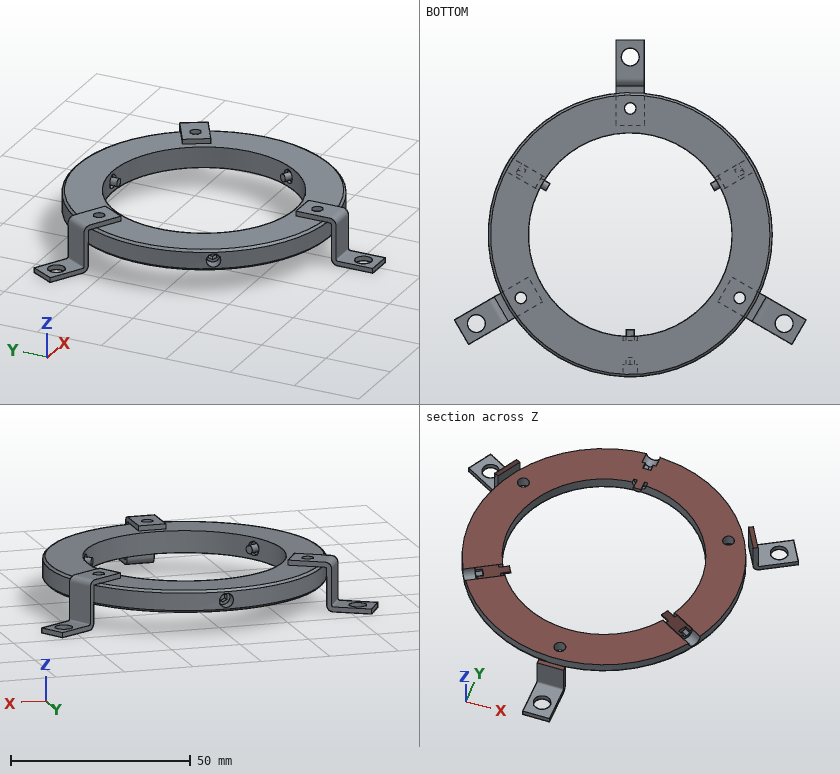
import cadquery as cq
import math

ring_outer_radius = 39.7
ring_inner_radius = 28.4
ring_height = 6.4
ring_chamfer = 0.7

overall_height = 14.2
sheet_thickness = 1.5
bracket_width = 8.0
bracket_inner_end = 30.5
bracket_outer_end = 54.4
wall_outer_face = 43.0
bend_inner_radius = 0.5
bend_outer_radius = bend_inner_radius + sheet_thickness
fixing_hole_radius_position = 35.3
fixing_hole_diameter = 3.1
foot_hole_radius_position = 49.6
foot_hole_diameter = 4.9
bracket_angles = (30, 150, 270)

screw_diameter = 4.0
screw_recess = 3.4
tip_diameter = 2.4
tip_end_radius = 26.5
tip_length = 2.9
socket_across_flats = 2.3
socket_depth = 2.0
fixed_screw_angle = 90
loose_screw_angles = (210, 330)

ring_top = overall_height - sheet_thickness
ring_bottom = ring_top - ring_height
ring_middle = ring_top - ring_height / 2


def turn(body, angle):
    """Turn a body about the ring axis."""
    return body.rotate((0, 0, 0), (0, 0, 1), angle)


def radial_plane(distance):
    """Plane facing outward along +X at mid-height of the ring."""
    return cq.Plane(origin=(distance, 0, ring_middle), xDir=(0, 0, 1), normal=(1, 0, 0))


def make_bracket():
    """Bracket pointing along +X, bent down outside the ring and out to a foot."""
    wall_inner_face = wall_outer_face - sheet_thickness
    bracket = (
        cq.Workplane("XZ")
        .moveTo(bracket_inner_end, overall_height)
        .lineTo(wall_outer_face, overall_height)
        .lineTo(wall_outer_face, sheet_thickness)
        .lineTo(bracket_outer_end, sheet_thickness)
        .lineTo(bracket_outer_end, 0)
        .lineTo(wall_inner_face, 0)
        .lineTo(wall_inner_face, ring_top)
        .lineTo(bracket_inner_end, ring_top)
        .close()
        .extrude(bracket_width / 2, both=True)
    )

    def bend_edge(x, z):
        return cq.selectors.NearestToPointSelector((x, 0, z))

    for x, z in ((wall_outer_face, overall_height), (wall_inner_face, 0)):
        bracket = bracket.edges(bend_edge(x, z)).fillet(bend_outer_radius)
    for x, z in ((wall_outer_face, sheet_thickness), (wall_inner_face, ring_top)):
        bracket = bracket.edges(bend_edge(x, z)).fillet(bend_inner_radius)

    foot_hole = (
        cq.Workplane("XY")
        .center(foot_hole_radius_position, 0)
        .circle(foot_hole_diameter / 2)
        .extrude(sheet_thickness)
    )
    return bracket.cut(foot_hole).cut(make_fixing_hole())


def make_fixing_hole():
    """Vertical hole through a bracket's top flange and the ring."""
    return (
        cq.Workplane("XY", origin=(fixing_hole_radius_position, 0, ring_bottom))
        .circle(fixing_hole_diameter / 2)
        .extrude(overall_height - ring_bottom)
    )


def make_set_screw():
    """Set screw along +X, its tip standing inward of the ring's bore."""
    head_radius = ring_outer_radius - screw_recess
    shoulder_radius = tip_end_radius + tip_length
    body = (
        cq.Workplane(radial_plane(shoulder_radius))
        .circle(screw_diameter / 2)
        .extrude(head_radius - shoulder_radius)
    )
    tip = cq.Workplane(radial_plane(tip_end_radius)).circle(tip_diameter / 2).extrude(tip_length)
    socket_corner_diameter = socket_across_flats / math.cos(math.pi / 6)
    socket = (
        cq.Workplane(radial_plane(head_radius))
        .polygon(6, socket_corner_diameter)
        .extrude(-socket_depth)
    )
    return body.union(tip).cut(socket)


def make_ring():
    """Chamfered ring with fixing holes, screw holes and one screw made in one piece with it."""
    ring = (
        cq.Workplane("XY", origin=(0, 0, ring_bottom))
        .circle(ring_outer_radius)
        .extrude(ring_height)
        .edges()
        .chamfer(ring_chamfer)
    )
    bore = cq.Workplane("XY", origin=(0, 0, ring_bottom)).circle(ring_inner_radius).extrude(ring_height)
    ring = ring.cut(bore)

    for angle in bracket_angles:
        ring = ring.cut(turn(make_fixing_hole(), angle))

    screw_hole = cq.Workplane(radial_plane(0)).circle(screw_diameter / 2).extrude(ring_outer_radius)
    for angle in (fixed_screw_angle, *loose_screw_angles):
        ring = ring.cut(turn(screw_hole, angle))

    return ring.union(turn(make_set_screw(), fixed_screw_angle))


ring = make_ring()
brackets = [turn(make_bracket(), angle) for angle in bracket_angles]
set_screws = [turn(make_set_screw(), angle) for angle in loose_screw_angles]

result = cq.Compound.makeCompound([body.val() for body in (ring, *brackets, *set_screws)])